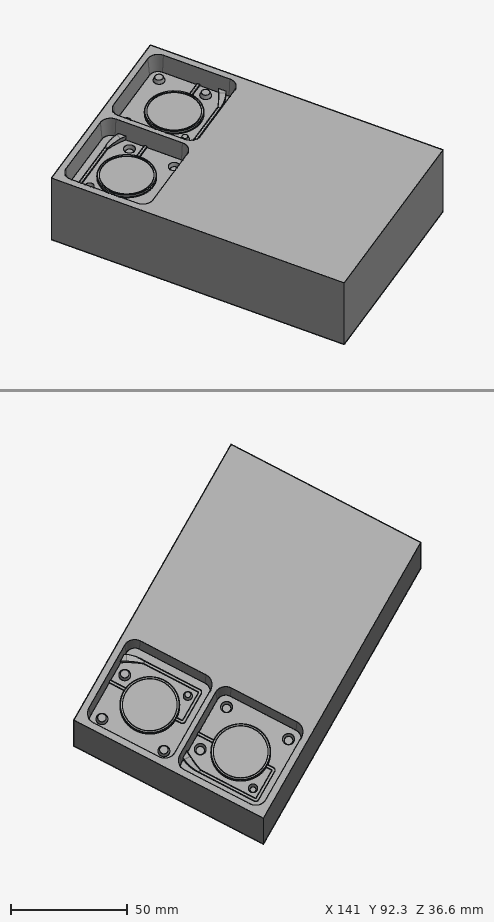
import cadquery as cq
import math

block_length = 141.0
block_width = 92.3
block_height = 36.6

pocket_size = 41.9
end_margin = 3.0
side_margin = 3.1
pocket_corner_radius = 5.0
pocket_depth = 9.5
wall_inset = 0.82
floor_z = block_height - pocket_depth
wall_draft = math.degrees(math.atan2(wall_inset, pocket_depth))
pocket_x = end_margin + pocket_size / 2
front_pocket_y = side_margin + pocket_size / 2
rear_pocket_y = block_width - front_pocket_y
wall_y = pocket_size / 2

disc_base_radius = 12.8
disc_rim_radius = 12.5
disc_face_radius = 11.7
disc_edge_height = 0.5
disc_rim_height = 1.3
disc_face_height = 1.0

ridge_width = 1.3
ridge_height = 0.7
half_ridge = ridge_width / 2
vent_x = 1.3
runner_x = 15.8
runner_y = -16.2
ridge_start = disc_face_radius

funnel_start_y = 11.3
funnel_tilt = 30.0
funnel_height = 2.1
funnel_inner_mid = (12.5, 17.3)
funnel_inner_end = (10.1, 21.3)
funnel_outer_mid = (15.8, 16.9)
funnel_outer_end = (13.8, 21.3)
ramp_length = 7.5

peg_offset = 15.1
large_peg_radius = 2.5
small_peg_radius = 2.0
peg_taper = 0.7
peg_height = 1.8
pegs = [
    (-peg_offset, peg_offset, large_peg_radius),
    (-peg_offset, -peg_offset, large_peg_radius),
    (6.9, 15.9, large_peg_radius),
    (11.5, -12.3, small_peg_radius),
]


def pocket():
    """Drafted pocket volume, centred in plan, with its floor at z = 0."""
    rim = cq.Sketch().rect(pocket_size, pocket_size).vertices().fillet(pocket_corner_radius)
    return (
        cq.Workplane("XY", origin=(0, 0, pocket_depth))
        .placeSketch(rim)
        .extrude(-pocket_depth, taper=wall_draft)
    )


def cone(x, y, base_radius, tip_radius, height):
    """Truncated cone standing on z = 0, or hanging below it when the height is negative."""
    direction = cq.Vector(0, 0, math.copysign(1, height))
    solid = cq.Solid.makeCone(base_radius, tip_radius, abs(height), cq.Vector(x, y, 0), direction)
    return cq.Workplane(solid)


def vent():
    """Straight ridge from the disc to the +Y wall."""
    length = wall_y - ridge_start
    return (
        cq.Workplane("XY")
        .center(vent_x, ridge_start + length / 2)
        .rect(ridge_width, length)
        .extrude(ridge_height)
    )


def runner():
    """U-shaped ridge: out of the disc toward -Y, across, then up along the +X side."""
    inner_y = runner_y + half_ridge
    outer_y = runner_y - half_ridge
    outer_x = runner_x + half_ridge
    return (
        cq.Workplane("XY")
        .moveTo(half_ridge, -ridge_start)
        .lineTo(half_ridge, inner_y)
        .lineTo(runner_x - half_ridge, inner_y)
        .lineTo(runner_x - half_ridge, funnel_start_y)
        .lineTo(outer_x, funnel_start_y)
        .lineTo(outer_x, inner_y)
        .radiusArc((runner_x - half_ridge, outer_y), ridge_width)
        .lineTo(half_ridge, outer_y)
        .radiusArc((-half_ridge, inner_y), ridge_width)
        .lineTo(-half_ridge, -ridge_start)
        .close()
        .extrude(ridge_height)
    )


def funnel():
    """Curved funnel whose top ramps up along its axis and then runs level into the wall."""
    plan = (
        cq.Workplane("XY")
        .moveTo(runner_x - half_ridge, funnel_start_y)
        .threePointArc(funnel_inner_mid, funnel_inner_end)
        .lineTo(*funnel_outer_end)
        .threePointArc(funnel_outer_mid, (runner_x + half_ridge, funnel_start_y))
        .close()
        .extrude(funnel_height)
    )
    ramp = (
        cq.Workplane("YZ")
        .polyline([
            (-pocket_size, 0),
            (-pocket_size, ridge_height),
            (0, ridge_height),
            (ramp_length, funnel_height),
            (pocket_size, funnel_height),
            (pocket_size, 0),
        ])
        .close()
        .extrude(pocket_size / 2, both=True)
        .rotate((0, 0, 0), (0, 0, 1), funnel_tilt)
        .translate((runner_x, funnel_start_y, 0))
    )
    return plan.intersect(ramp)


def raised_pattern():
    """Disc and ridges shared by both pockets."""
    chamfer_height = disc_rim_height - disc_edge_height
    disc_edge = cq.Workplane("XY").circle(disc_base_radius).extrude(disc_edge_height)
    disc_chamfer = cone(0, 0, disc_base_radius, disc_rim_radius, chamfer_height)
    disc = disc_edge.union(disc_chamfer.translate((0, 0, disc_edge_height)))
    face_recess = (
        cq.Workplane("XY", origin=(0, 0, disc_face_height))
        .circle(disc_face_radius)
        .extrude(disc_rim_height)
    )
    return disc.union(vent()).union(runner()).union(funnel()).cut(face_recess)


def peg_set(height):
    """All cones of one pocket: pegs, or the matching sockets when the height is negative."""
    cones = cq.Workplane("XY")
    for x, y, radius in pegs:
        cones = cones.add(cone(x, y, radius, radius - peg_taper, height))
    return cones.combine()


def rear_cavity():
    """Pocket volume less everything that stands on its floor."""
    return pocket().cut(raised_pattern()).cut(peg_set(peg_height))


def front_cavity():
    """Mirror image of the rear pattern, with sockets where the rear pocket has pegs."""
    return pocket().cut(raised_pattern()).union(peg_set(-peg_height)).mirror("YZ")


block = cq.Workplane("XY").box(block_length, block_width, block_height, centered=False)
result = (
    block
    .cut(rear_cavity().translate((pocket_x, rear_pocket_y, floor_z)))
    .cut(front_cavity().translate((pocket_x, front_pocket_y, floor_z)))
)